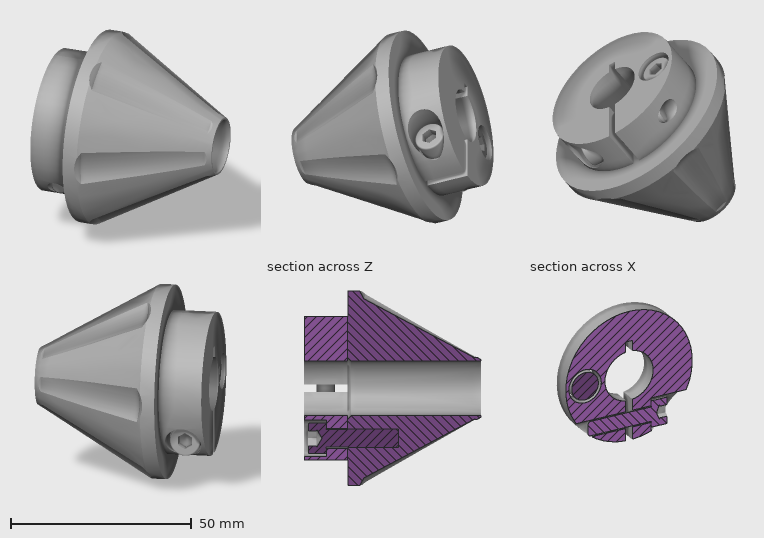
import cadquery as cq
import math


hub_radius = 20.0
hub_length = 12.0
bore_radius = 7.5
slit_width = 2.0
relief_top = 10.6

total_length = 49.0
cone_radius = 27.0
cone_tip_radius = 8.0
cone_angle = 30.0
cone_bore_entry_radius = 8.5

flute_count = 6
flute_radius = 10.0
flute_start_x = 16.5
flute_start_floor = 24.85
flute_angle = 28.0
flute_length = 34.6
flute_end_angle = 34.0

shank_radius = 2.51
shank_length = 20.0
shank_chamfer = 0.5
head_radius = 4.25
head_height = 5.0
head_fillet = 0.45
socket_flats = 4.0
socket_depth = 2.5
socket_cone_angle = 120.0

clearance_radius = 2.7
counterbore_radius = 5.0
cone_screw_y = -13.8
cone_screw_sink = 1.0
clamp_screw_z = -13.5
clamp_screw_tip_y = -12.9

clamp_screw_x = hub_length / 2
clamp_seat_y = clamp_screw_tip_y + shank_length
cone_seat_x = cone_screw_sink + head_height
cone_start_x = total_length - (cone_radius - cone_tip_radius) / math.tan(math.radians(cone_angle))


def cylinder_along(start, direction, radius, length):
    return cq.Workplane("XY").add(
        cq.Solid.makeCylinder(radius, length, cq.Vector(*start), cq.Vector(*direction))
    )


def socket_screw(seat, direction):
    """Screw whose head rests at the seat; its shank runs from there along the direction."""
    shank = cq.Workplane("XY").circle(shank_radius).extrude(shank_length)
    shank = shank.faces(">Z").chamfer(shank_chamfer)
    head = cq.Workplane("XY").circle(head_radius).extrude(-head_height)
    head = head.faces("<Z").edges().fillet(head_fillet)

    hexagon_radius = socket_flats / 2 / math.cos(math.radians(30))
    point_depth = hexagon_radius / math.tan(math.radians(socket_cone_angle / 2))
    socket = (
        cq.Workplane("XY", origin=(0, 0, -head_height))
        .polygon(6, 2 * hexagon_radius)
        .extrude(socket_depth)
    )
    socket_point = cq.Workplane("XY").add(
        cq.Solid.makeCone(
            hexagon_radius, 0, point_depth, cq.Vector(0, 0, socket_depth - head_height), cq.Vector(0, 0, 1)
        )
    )
    screw = shank.union(head).cut(socket).cut(socket_point).val()
    plane = cq.Plane(origin=seat, xDir=(0, 0, 1), normal=direction)
    return screw.moved(cq.Location(plane))


def clamp_hub():
    hub = cylinder_along((0, 0, 0), (1, 0, 0), hub_radius, hub_length)
    hub = hub.cut(cylinder_along((0, 0, 0), (1, 0, 0), bore_radius, hub_length))

    slit_height = relief_top + hub_radius
    slit = cq.Workplane("XY").box(hub_length, slit_width, slit_height, centered=(False, True, False))
    hub = hub.cut(slit.translate((0, 0, -hub_radius)))

    cone_screw_axis = (0, cone_screw_y, 0)
    hub = hub.cut(cylinder_along(cone_screw_axis, (1, 0, 0), clearance_radius, hub_length))
    hub = hub.cut(cylinder_along(cone_screw_axis, (1, 0, 0), counterbore_radius, cone_seat_x))

    clamp_hole_start = (clamp_screw_x, -hub_radius, clamp_screw_z)
    clamp_seat = (clamp_screw_x, clamp_seat_y, clamp_screw_z)
    hub = hub.cut(cylinder_along(clamp_hole_start, (0, 1, 0), clearance_radius, 2 * hub_radius))
    return hub.cut(cylinder_along(clamp_seat, (0, 1, 0), counterbore_radius, hub_radius))


def flute_cutter():
    """Tool for the flute on the -Y side: a cylinder with conical ends, laid along the cone."""
    end_length = flute_radius / math.tan(math.radians(flute_end_angle))
    profile = (
        cq.Workplane("XY")
        .moveTo(0, 0)
        .lineTo(flute_length, 0)
        .lineTo(flute_length + end_length, flute_radius)
        .lineTo(-end_length, flute_radius)
        .close()
    )
    cutter = profile.revolve(360, (0, flute_radius, 0), (1, flute_radius, 0))
    cutter = cutter.rotate((0, 0, 0), (0, 0, 1), -flute_angle)
    cutter = cutter.translate((flute_start_x, flute_start_floor, 0))
    return cutter.rotate((0, 0, 0), (1, 0, 0), 180)


def fluted_cone():
    entry_depth = cone_bore_entry_radius - bore_radius
    cone = (
        cq.Workplane("XY")
        .moveTo(hub_length, cone_bore_entry_radius)
        .lineTo(hub_length, cone_radius)
        .lineTo(cone_start_x, cone_radius)
        .lineTo(total_length, cone_tip_radius)
        .lineTo(total_length, bore_radius)
        .lineTo(hub_length + entry_depth, bore_radius)
        .close()
        .revolve(360, (0, 0, 0), (1, 0, 0))
    )
    cutter = flute_cutter()
    for index in range(flute_count):
        cone = cone.cut(cutter.rotate((0, 0, 0), (1, 0, 0), index * 360 / flute_count))

    hole_length = cone_seat_x + shank_length - hub_length
    return cone.cut(cylinder_along((hub_length, cone_screw_y, 0), (1, 0, 0), shank_radius, hole_length))


hub = clamp_hub()
cone = fluted_cone()
cone_screw = socket_screw((cone_seat_x, cone_screw_y, 0), (1, 0, 0))
clamp_screw = socket_screw((clamp_screw_x, clamp_seat_y, clamp_screw_z), (0, -1, 0))

result = cq.Compound.makeCompound([hub.val(), cone.val(), cone_screw, clamp_screw])